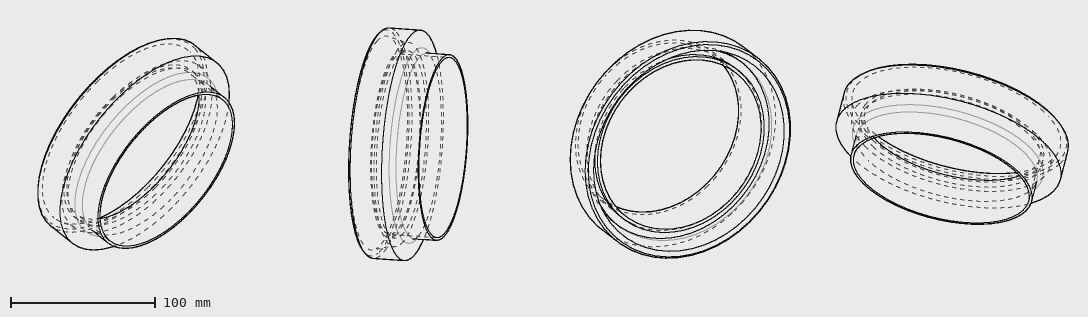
import cadquery as cq
import math

total_length = 46.0
flange_length = 24.2
recess_taper_depth = 12.2
recess_depth = 16.2
lip_depth = 12.2

flange_radius = 80.0
spigot_radius = 129.0 / 2
recess_mouth_radius = 74.2
recess_floor_radius = 141.8 / 2
lip_radius = 130.0 / 2
bore_radius = 125.0 / 2

rim_chamfer = 1.6
back_slope = math.radians(9.5)
neck_fillet = 4.0

fillet_center_radius = spigot_radius + neck_fillet
slope_end_radius = fillet_center_radius - neck_fillet * math.sin(back_slope)
slope_end_x = flange_length + (flange_radius - slope_end_radius) * math.tan(back_slope)
fillet_center_x = slope_end_x + neck_fillet * math.cos(back_slope)
arc_mid_angle = (math.pi / 2 + back_slope) / 2
fillet_mid = (
    fillet_center_x - neck_fillet * math.cos(arc_mid_angle),
    fillet_center_radius - neck_fillet * math.sin(arc_mid_angle),
)

section = (
    cq.Workplane("XY")
    .moveTo(0, flange_radius - rim_chamfer)
    .lineTo(rim_chamfer, flange_radius)
    .lineTo(flange_length, flange_radius)
    .lineTo(slope_end_x, slope_end_radius)
    .threePointArc(fillet_mid, (fillet_center_x, spigot_radius))
    .lineTo(total_length, spigot_radius)
    .lineTo(total_length, bore_radius)
    .lineTo(lip_depth, bore_radius)
    .lineTo(lip_depth, lip_radius)
    .lineTo(recess_depth, lip_radius)
    .lineTo(recess_depth, recess_floor_radius)
    .lineTo(recess_taper_depth, recess_floor_radius)
    .lineTo(0, recess_mouth_radius)
    .close()
)

result = section.revolve(360, (0, 0, 0), (1, 0, 0))